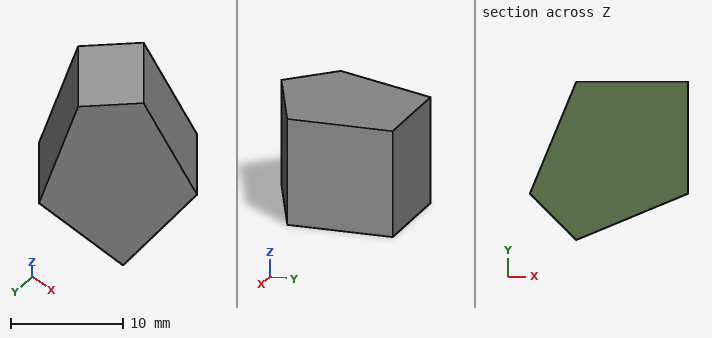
import cadquery as cq

overall = 14.14
side = 10.0
height = 10.0

setback = overall - side

outline = [
    (overall, overall),
    (setback, overall),
    (0, setback),
    (setback, 0),
    (overall, setback),
]

result = cq.Workplane("XY").polyline(outline).close().extrude(height)